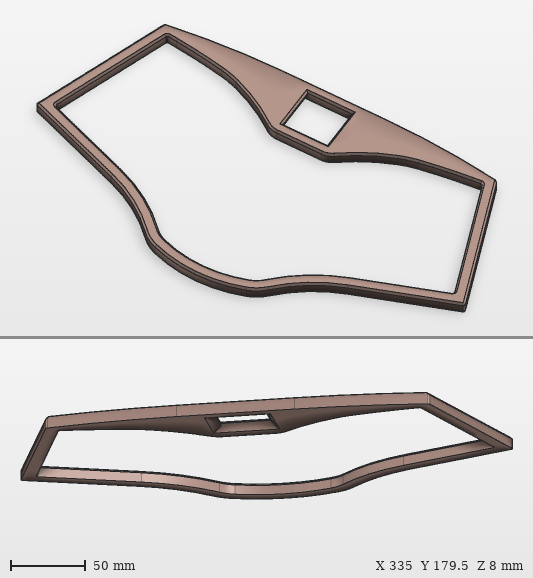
import cadquery as cq
import math

width = 335.0
depth = 179.5
thickness = 8.0

rim = 9.0
tilt = 20.0
corner_radius = 1.7
edge_bevel = 1.5

front_arcs = [(107.0, 19.5), (33.0, 46.0), (116.2, tilt)]

back_flat = 80.5
back_corner_drop = 6.7

plate_depth = 47.0
plate_flat = 34.8
plate_arcs = [(14.7, 37.0), (147.5, 20.5), (83.7, 10.7), (472.0, 6.0)]

window_width = 34.8
window_length = 31.8
window_back_wall = 6.7
window_flare = 5.0

overrun = 16.7
corner_reach = 1.0

corner_overhang = corner_radius * (math.sqrt(2) * math.cos(math.radians(45 - tilt)) - 1)
sharp_half_width = width / 2 + corner_overhang


def direction(slope):
    """Unit vector pointing left and rising at the given slope."""
    angle = math.radians(slope)
    return -math.cos(angle), math.sin(angle)


def meet(point_a, slope_a, point_b, slope_b):
    """Intersection of two lines, each given by a point and a slope."""
    ax, ay = direction(slope_a)
    bx, by = direction(slope_b)
    dx = point_b[0] - point_a[0]
    dy = point_b[1] - point_a[1]
    along_a = (dx * by - dy * bx) / (ax * by - ay * bx)
    return point_a[0] + along_a * ax, point_a[1] + along_a * ay


def arc_point(start, radius, start_slope, slope):
    """Point of a leftward arc where its slope has changed from start_slope to slope."""
    signed_radius = math.copysign(radius, slope - start_slope)
    x0, y0 = direction(start_slope)
    x1, y1 = direction(slope)
    return start[0] - signed_radius * (y1 - y0), start[1] + signed_radius * (x1 - x0)


def arc_chain(start, arcs, inset=0.0):
    """(middle, end) points of tangent arcs that leave start level, shifted inwards by inset."""
    points = []
    slope = 0.0
    for radius, end_slope in arcs:
        shifted_radius = radius - math.copysign(inset, end_slope - slope)
        middle = arc_point(start, shifted_radius, slope, (slope + end_slope) / 2)
        end = arc_point(start, shifted_radius, slope, end_slope)
        points.append((middle, end))
        start = end
        slope = end_slope
    return points


def front_chain(inset):
    """Arcs of the left half of the front edge, shifted inwards by inset."""
    return arc_chain((0.0, inset), front_arcs, inset)


def plate_chain():
    """Arcs of the left half of the plate's front edge."""
    return arc_chain((-plate_flat / 2, depth - plate_depth), plate_arcs)


def side_point(inset):
    """Point on the left side line, shifted inwards by inset."""
    x, y = meet(front_chain(0.0)[-1][1], tilt, (-sharp_half_width, 0.0), 90.0)
    outward_x, outward_y = direction(tilt)
    return x - inset * outward_x, y - inset * outward_y


def on_side(inset, point, slope):
    """Where a line through point meets the left side line, shifted inwards by inset."""
    return meet(side_point(inset), tilt - 90, point, slope)


def front_corner(inset):
    """Sharp left front corner, shifted inwards by inset."""
    return on_side(inset, front_chain(inset)[-1][1], tilt)


def plate_corner():
    """Sharp left corner between the plate's front edge and the inner side."""
    return on_side(rim, plate_chain()[-1][1], plate_arcs[-1][1])


def back_corner():
    """Sharp left corner between the side and the back edge."""
    return on_side(0.0, (0.0, depth - back_corner_drop), 0.0)


def finish_half(sketch, chain, corner, inset):
    """Follow the chain to the corner, go up the side past the back edge, close on X = 0, extrude."""
    for middle, end in chain:
        sketch = sketch.threePointArc(middle, end)
    past_back = depth + overrun
    sketch = sketch.lineTo(*corner).lineTo(*on_side(inset, (0.0, past_back), 0.0))
    return sketch.lineTo(0, past_back).close().extrude(thickness)


def front_and_side(inset):
    """Left half of the area behind the front edge and inside the side."""
    sketch = cq.Workplane("XY").moveTo(0, inset)
    return finish_half(sketch, front_chain(inset), front_corner(inset), inset)


def plate():
    """Left half of the wide plate along the back."""
    front_y = depth - plate_depth
    sketch = cq.Workplane("XY").moveTo(0, front_y).lineTo(-plate_flat / 2, front_y)
    return finish_half(sketch, plate_chain(), plate_corner(), rim)


def back_limit():
    """Left half of the area in front of the back edge, with room around the other edges."""
    corner = back_corner()
    return (
        cq.Workplane("XY")
        .moveTo(0, -overrun)
        .lineTo(0, depth)
        .lineTo(-back_flat / 2, depth)
        .tangentArcPoint(corner, relative=False)
        .lineTo(-width, corner[1])
        .lineTo(-width, -overrun)
        .close()
        .extrude(thickness)
    )


def window():
    """Window cutter with an upright lip on top and a flare to both sides below it."""
    half_top = window_width / 2
    half_bottom = half_top + window_flare
    return (
        cq.Workplane("XZ", origin=(0, depth - window_back_wall, 0))
        .moveTo(-half_bottom, 0)
        .lineTo(-half_top, window_flare)
        .lineTo(-half_top, thickness)
        .lineTo(half_top, thickness)
        .lineTo(half_top, window_flare)
        .lineTo(half_bottom, 0)
        .close()
        .extrude(window_length)
    )


def both_sides(left_half):
    """The left half joined with its mirror image across X = 0."""
    return left_half.union(left_half.mirror("YZ")).clean()


def round_corner(body, corner):
    """Round the upright edge at a left corner and its mirror image on the right."""
    for x in (corner[0], -corner[0]):
        box = cq.selectors.BoxSelector(
            (x - corner_reach, corner[1] - corner_reach, 0),
            (x + corner_reach, corner[1] + corner_reach, thickness),
        )
        body = body.edges("|Z").edges(box).fillet(corner_radius)
    return body


opening = front_and_side(rim).cut(plate())
frame = both_sides(front_and_side(0.0).cut(opening))
for sharp_corner in (front_corner(0.0), front_corner(rim), plate_corner()):
    frame = round_corner(frame, sharp_corner)

frame = frame.cut(window()).faces(">Z").edges().chamfer(edge_bevel)

outline = both_sides(front_and_side(0.0).intersect(back_limit()))
result = frame.intersect(round_corner(outline, back_corner()))